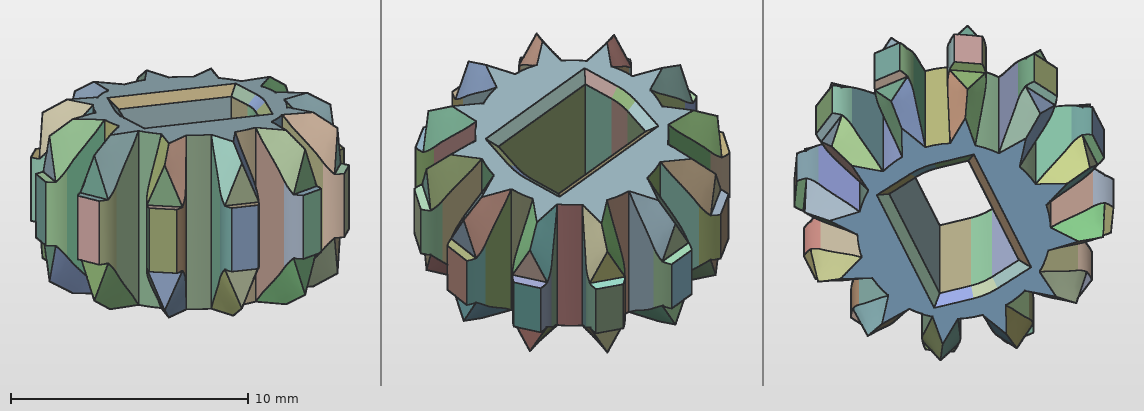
import cadquery as cq
import math

tooth_count = 12
tip_radius = 6.7
half_height = 7.7 / 2
root_radius = 4.07

root_half_width = 0.54
shoulder_reach = 5.82
shoulder_half_width = 0.8
nose_reach = 6.31
nose_half_width = 0.76
tip_half_width = 0.59

band_half_height = 1.41
ridge_outer_z = 3.22
ridge_inner_reach = 5.27
roof_extension = 3.0

bore_half_width = 1.84
bore_crown_radius = 2.81
gable_angle = math.radians(10.0)
bore_chamfer = 0.42

root_reach = math.sqrt(root_radius**2 - root_half_width**2)


def tooth_prism():
    """Full tooth cross-section, pointing along +X, over the whole height."""
    return (
        cq.Workplane("XY")
        .workplane(offset=-half_height)
        .lineTo(root_reach, -root_half_width)
        .lineTo(shoulder_reach, -shoulder_half_width)
        .threePointArc((nose_reach, -nose_half_width), (tip_radius, -tip_half_width))
        .lineTo(tip_radius, tip_half_width)
        .threePointArc((nose_reach, nose_half_width), (shoulder_reach, shoulder_half_width))
        .lineTo(root_reach, root_half_width)
        .close()
        .extrude(2 * half_height)
    )


def roof_section(reach, half_width):
    """Triangle from the ridge through the eaves point at this reach, run out past both flanks."""
    progress = (reach - root_reach) / (nose_reach - root_reach)
    ridge_reach = ridge_inner_reach + progress * (nose_reach - ridge_inner_reach)
    ridge_z = half_height + progress * (ridge_outer_z - half_height)
    eaves_z = half_height + progress * (band_half_height - half_height)
    foot_reach = ridge_reach + roof_extension * (reach - ridge_reach)
    foot_half_width = roof_extension * half_width
    foot_z = ridge_z + roof_extension * (eaves_z - ridge_z)
    corners = [
        cq.Vector(ridge_reach, 0, ridge_z),
        cq.Vector(foot_reach, foot_half_width, foot_z),
        cq.Vector(foot_reach, -foot_half_width, foot_z),
    ]
    return cq.Wire.makePolygon(corners, close=True)


def tooth_roof():
    """Twisted roof: a V in the top face blends into an upright V in the nose face."""
    mid_flank_reach = (root_reach + shoulder_reach) / 2
    mid_flank_half_width = (root_half_width + shoulder_half_width) / 2
    sections = [
        roof_section(root_reach, root_half_width),
        roof_section(mid_flank_reach, mid_flank_half_width),
        roof_section(shoulder_reach, shoulder_half_width),
        roof_section(nose_reach, nose_half_width),
    ]
    return cq.Workplane(cq.Solid.makeLoft(sections))


def tooth():
    """One tooth: a full-profile middle band with a tapered end above and below."""
    prism = tooth_prism()
    blank_width = 2 * tip_radius
    band_box = cq.Workplane("XY").box(blank_width, blank_width, 2 * band_half_height)
    upper_half = cq.Workplane("XY").rect(blank_width, blank_width).extrude(half_height)
    upper_end = prism.intersect(tooth_roof()).intersect(upper_half)
    lower_end = upper_end.mirror("XY")
    return prism.intersect(band_box).union(upper_end).union(lower_end)


def bore_outline(growth, z):
    """Bore outline at height z, with every wall moved outward by growth."""
    half_width = bore_half_width + growth
    crown = bore_crown_radius + growth
    arc_x = crown * math.sin(gable_angle)
    arc_y = crown * math.cos(gable_angle)
    corner_y = (crown - half_width * math.sin(gable_angle)) / math.cos(gable_angle)
    return (
        cq.Workplane("XY")
        .workplane(offset=z)
        .moveTo(half_width, -corner_y)
        .lineTo(half_width, corner_y)
        .lineTo(arc_x, arc_y)
        .threePointArc((0, crown), (-arc_x, arc_y))
        .lineTo(-half_width, corner_y)
        .lineTo(-half_width, -corner_y)
        .lineTo(-arc_x, -arc_y)
        .threePointArc((0, -crown), (arc_x, -arc_y))
        .close()
    )


def bore():
    """Through bore with a chamfered mouth at each end."""
    shaft = bore_outline(0, -half_height).extrude(2 * half_height)
    chamfer_z = half_height - bore_chamfer
    inner_rim = bore_outline(0, chamfer_z).val()
    outer_rim = bore_outline(bore_chamfer, half_height).val()
    mouth = cq.Workplane(cq.Solid.makeLoft([inner_rim, outer_rim], True))
    return shaft.union(mouth).union(mouth.mirror("XY"))


gear = cq.Workplane("XY").circle(root_radius).extrude(half_height, both=True)
single_tooth = tooth()
for index in range(tooth_count):
    angle = index * 360 / tooth_count
    gear = gear.union(single_tooth.rotate((0, 0, 0), (0, 0, 1), angle))

result = gear.cut(bore())